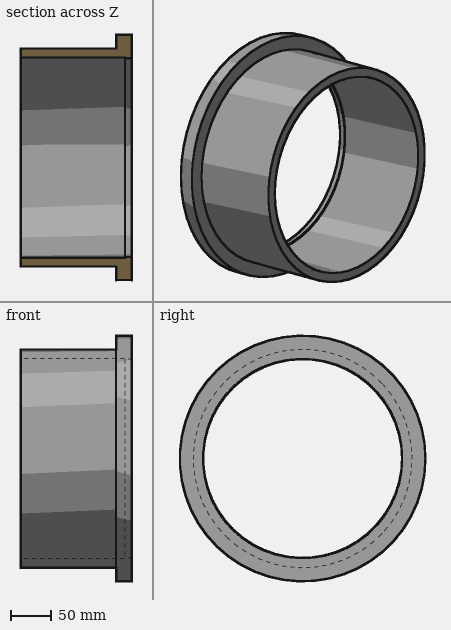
import cadquery as cq

total_length = 139.0
flange_thickness = 19.5
flange_diameter = 307.0
sleeve_diameter = 273.0
sleeve_bore_diameter = 250.0
lip_diameter = 248.0
lip_length = 8.5

sleeve_length = total_length - flange_thickness


def disc(diameter, start, length):
    """Solid cylinder along X, beginning at the given X position."""
    return cq.Workplane("YZ", origin=(start, 0, 0)).circle(diameter / 2).extrude(length)


sleeve = disc(sleeve_diameter, 0, total_length)
flange = disc(flange_diameter, sleeve_length, flange_thickness)

lip_start = total_length - lip_length
main_bore = disc(sleeve_bore_diameter, 0, lip_start)
lip_bore = disc(lip_diameter, lip_start, lip_length)

result = sleeve.union(flange).cut(main_bore).cut(lip_bore)